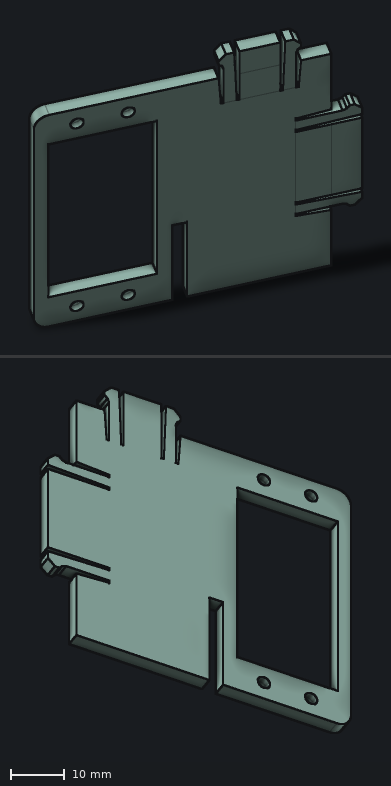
import cadquery as cq

thickness = 3.0
overall_width = 64.0
overall_height = 63.0
clip_reach = 6.0
corner_radius = 3.0

window_width = 21.2
window_height = 41.1
window_margin = 2.8
hole_diameter = 2.55
hole_spacing_y = 10.0
hole_spacing_z = 49.15

slot_width = 2.9
slot_depth = 20.0
slot_from_left = 34.1

top_tongue_width = 8.0
side_tongue_width = 19.0
top_clip_from_left = 20.0
slit_depth = 13.0
slit_width = 0.5
inner_slit_mouth = 0.95
arm_outer = 3.1
hook_outer = 4.0
hook_bend_outer = 3.4
hook_tip = 2.6
hook_lead = 1.5
hook_shoulder = 2.4
hook_bend = 3.0
hook_end = 3.85

left = overall_width / 2
right = -left
bottom = -overall_height / 2
plate_left = left - clip_reach
plate_width = overall_width - clip_reach
plate_height = overall_height - clip_reach
plate_top = bottom + plate_height
plate_middle_z = bottom + plate_height / 2


def block(y_min, z_min, width, height):
    """Box spanning the plate thickness, given its low corner in Y and Z."""
    return cq.Workplane("XY").box(thickness, width, height, centered=(True, False, False)).translate(
        (0, y_min, z_min)
    )


def prism(points):
    """Extrude a (Y, Z) outline through the plate thickness."""
    return cq.Workplane("YZ").polyline(points).close().extrude(thickness / 2, both=True)


def add_clip(body, tongue_width, place):
    """Cut the slits and add the tongue and arms; place(side, out) gives (Y, Z).

    side runs across the clip from its axis, out runs from the plate edge outwards.
    """
    half = tongue_width / 2
    floor = clip_reach - slit_depth
    tongue = [(-half, floor), (half, floor), (half, clip_reach), (-half, clip_reach)]
    pocket = [
        (half, floor),
        (half + arm_outer + slit_width, floor),
        (half + hook_outer, 0),
        (half, 0),
    ]
    arm = [
        (half + slit_width, floor),
        (half + arm_outer, floor),
        (half + arm_outer, clip_reach - hook_end),
        (half + hook_bend_outer, clip_reach - hook_bend),
        (half + hook_outer, clip_reach - hook_shoulder),
        (half + hook_outer, clip_reach - hook_lead),
        (half + hook_tip, clip_reach),
        (half + inner_slit_mouth, clip_reach),
    ]
    for mirror in (1, -1):
        body = body.cut(prism([place(mirror * side, out) for side, out in pocket]))
        body = body.union(prism([place(mirror * side, out) for side, out in arm]))
    return body.union(prism([place(side, out) for side, out in tongue]))


def place_top(side, out):
    return (left - top_clip_from_left + side, plate_top + out)


def place_side(side, out):
    return (plate_left + out, plate_middle_z + side)


result = block(right, bottom, plate_width, plate_height)
result = result.edges("|X and <Y").fillet(corner_radius)

window_right = right + window_margin
window_bottom = plate_middle_z - window_height / 2
result = result.cut(block(window_right, window_bottom, window_width, window_height))

holes = (
    cq.Workplane("YZ")
    .center(window_right + window_width / 2, plate_middle_z)
    .rarray(hole_spacing_y, hole_spacing_z, 2, 2)
    .circle(hole_diameter / 2)
    .extrude(thickness / 2, both=True)
)
result = result.cut(holes)

slot_right = left - slot_from_left - slot_width
result = result.cut(block(slot_right, bottom, slot_width, slot_depth))

result = add_clip(result, top_tongue_width, place_top)
result = add_clip(result, side_tongue_width, place_side)